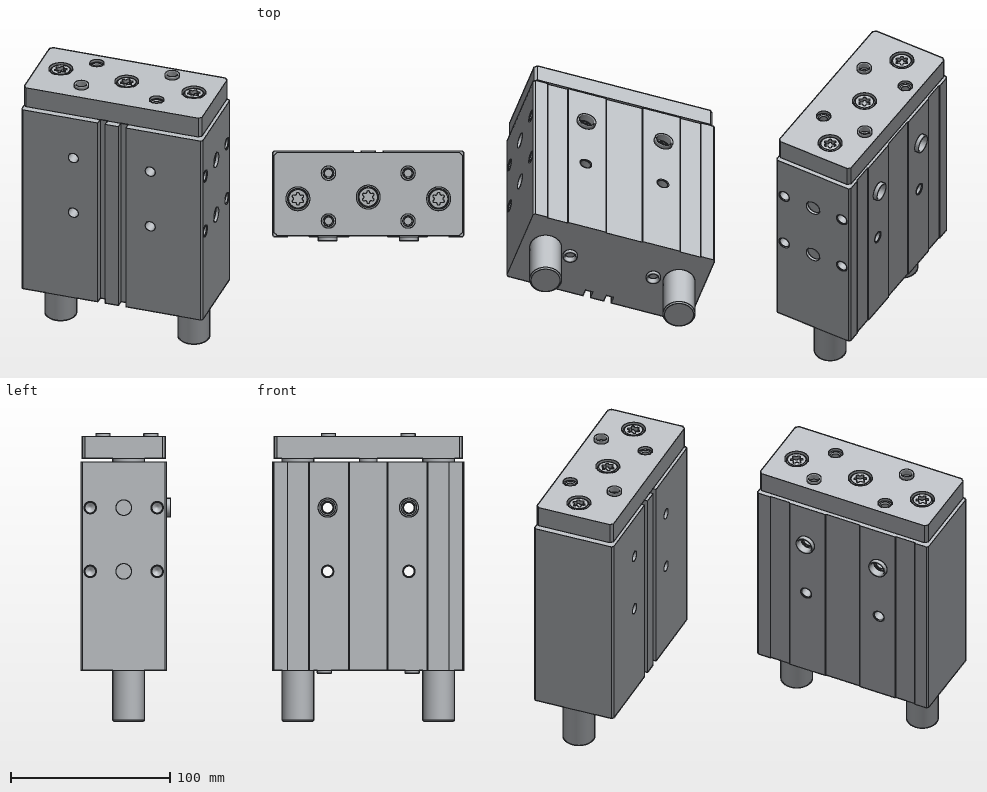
import cadquery as cq
import math


HOUSING_X = 120.0
HOUSING_Y = 53.9
HOUSING_BOTTOM = 32.2
HOUSING_TOP = 162.9
HOUSING_CORNER = 1.0

CENTRE_CHANNEL_HALF = 12.3
SIDE_CHANNEL_INNER = 36.9
SIDE_CHANNEL_OUTER = 50.6
CHANNEL_DEPTH = 0.5
CHANNEL_SLOPE = 0.5

SENSOR_SLOT_X = 6.9
SENSOR_SLOT_WIDTH = 4.9
SENSOR_SLOT_DEPTH = 4.9

UPPER_ROW_Z = 134.2
ROW_SPACING = 40.0
ROW_HEIGHTS = (UPPER_ROW_Z, UPPER_ROW_Z - ROW_SPACING)
MOUNT_HOLE_DIA = 6.7
MOUNT_CHAMFER_DIA = 7.8
FRONT_HOLE_X = 25.5
SIDE_HOLE_Y = 21.0
SIDE_HOLE_DEPTH = 16.0
DRILL_TIP_ANGLE = 118

SIDE_RECESS_DIA = 9.8
SIDE_RECESS_DEPTH = 2.0

PLATE_X = 117.9
PLATE_Y = 52.0
PLATE_BOTTOM = 165.0
PLATE_TOP = 178.8
PLATE_CORNER = 1.8
GUIDE_ROD_DIA = 20.0
GUIDE_ROD_X = 44.1
GUIDE_ROD_Y = -3.0
GUIDE_ROD_CHAMFER = 0.9
PISTON_ROD_DIA = 11.0
PISTON_ROD_Y = -2.0
PISTON_ROD_BOTTOM = 126.5

HEAD_POCKET_DIA = 15.0
HEAD_POCKET_DEPTH = 8.0
HEAD_DIA = 13.0
HEAD_CHAMFER = 0.7
HEAD_DROP = 0.5
SOCKET_TIP_RADIUS = 4.0
SOCKET_VALLEY_RADIUS = 2.7
SOCKET_LOBES = 6
SOCKET_DEPTH = 2.7

PLATE_HOLE_X = 25.0
PLATE_HOLE_OFFSET_Y = 15.0
PLATE_HOLE_DIA = 5.0
PLATE_HOLE_CHAMFER_DIA = 6.7

SMALL_SLEEVE_OUTER = 9.0
SMALL_SLEEVE_INNER = 6.7
SMALL_SLEEVE_PROUD = 2.0
SMALL_SLEEVE_SUNK = 2.0
BOTTOM_SLEEVE_X = 27.5

LARGE_SLEEVE_OUTER = 12.0
LARGE_SLEEVE_INNER = 9.8
LARGE_SLEEVE_PROUD = 2.5
LARGE_SLEEVE_SUNK = 2.5

FRONT_Y = -HOUSING_Y / 2
SIDES = (-1, 1)


def cylinder(diameter, length, base, direction):
    """Solid cylinder that starts at `base` and runs along `direction`."""
    return cq.Workplane(cq.Solid.makeCylinder(diameter / 2, length, cq.Vector(*base), cq.Vector(*direction)))


def countersink(outer_dia, inner_dia, base, direction):
    """45-degree cone that narrows from `outer_dia` at `base` along `direction`."""
    depth = (outer_dia - inner_dia) / 2
    cone = cq.Solid.makeCone(outer_dia / 2, inner_dia / 2, depth, cq.Vector(*base), cq.Vector(*direction))
    return cq.Workplane(cone)


def drilled_hole(diameter, depth, base, direction):
    """Blind hole with a conical drill tip."""
    tip_length = diameter / 2 / math.tan(math.radians(DRILL_TIP_ANGLE / 2))
    tip_base = cq.Vector(*base) + cq.Vector(*direction) * depth
    tip = cq.Solid.makeCone(diameter / 2, 0, tip_length, tip_base, cq.Vector(*direction))
    return cylinder(diameter, depth, base, direction).union(cq.Workplane(tip))


def front_channel(left, right, left_slope, right_slope):
    """Shallow full-height channel in the front face, with sloping walls."""
    outline = [
        (left, FRONT_Y),
        (right, FRONT_Y),
        (right - right_slope, FRONT_Y + CHANNEL_DEPTH),
        (left + left_slope, FRONT_Y + CHANNEL_DEPTH),
    ]
    height = HOUSING_TOP - HOUSING_BOTTOM
    return cq.Workplane("XY").workplane(offset=HOUSING_BOTTOM).polyline(outline).close().extrude(height)


def centring_sleeve(outer_dia, inner_dia, sunk, proud, face_point, outward):
    """Sleeve set into a face at `face_point`, standing proud along `outward` with a fully rounded end."""
    outer = outer_dia / 2
    inner = inner_dia / 2
    middle = (outer + inner) / 2
    round_start = proud - (outer - inner) / 2
    wall = cq.Workplane("XZ").moveTo(inner, -sunk).lineTo(outer, -sunk).lineTo(outer, round_start)
    wall = wall.threePointArc((middle, proud), (inner, round_start)).close()
    sleeve = wall.revolve(360, (0, 0), (0, 1))
    return cq.Workplane(sleeve.val().moved(cq.Location(cq.Plane(origin=face_point, normal=outward))))


def lobed_socket(x, y, top):
    """Six-lobe drive socket cut down from height `top`."""
    half_pitch = math.pi / SOCKET_LOBES
    mid_radius = (SOCKET_TIP_RADIUS + SOCKET_VALLEY_RADIUS) / 2

    def polar(radius, angle):
        return (radius * math.cos(angle), radius * math.sin(angle))

    first_tip = math.pi / 2
    outline = cq.Workplane(cq.Plane(origin=(x, y, top)))
    outline = outline.moveTo(*polar(mid_radius, first_tip - half_pitch / 2))
    for lobe in range(SOCKET_LOBES):
        tip = first_tip + 2 * half_pitch * lobe
        valley = tip + half_pitch
        tip_end = polar(mid_radius, tip + half_pitch / 2)
        valley_end = polar(mid_radius, valley + half_pitch / 2)
        outline = outline.threePointArc(polar(SOCKET_TIP_RADIUS, tip), tip_end)
        outline = outline.threePointArc(polar(SOCKET_VALLEY_RADIUS, valley), valley_end)
    return outline.close().extrude(-SOCKET_DEPTH)


UP = (0, 0, 1)
DOWN = (0, 0, -1)
FORWARD = (0, -1, 0)
INTO_FRONT = (0, 1, 0)
INTO_LEFT = (1, 0, 0)

guide_rod_places = [(side * GUIDE_ROD_X, GUIDE_ROD_Y) for side in SIDES]
screw_places = guide_rod_places + [(0, PISTON_ROD_Y)]
plate_holes = [
    (x_side * PLATE_HOLE_X, PISTON_ROD_Y + y_side * PLATE_HOLE_OFFSET_Y, PLATE_TOP)
    for x_side in SIDES
    for y_side in SIDES
]
plate_sleeve_points = [
    (side * PLATE_HOLE_X, PISTON_ROD_Y + side * PLATE_HOLE_OFFSET_Y, PLATE_TOP) for side in SIDES
]
bottom_sleeve_points = [(side * BOTTOM_SLEEVE_X, PISTON_ROD_Y, HOUSING_BOTTOM) for side in SIDES]
front_sleeve_points = [(side * FRONT_HOLE_X, FRONT_Y, UPPER_ROW_Z) for side in SIDES]


def build_housing():
    height = HOUSING_TOP - HOUSING_BOTTOM
    housing = cq.Workplane("XY").workplane(offset=HOUSING_BOTTOM).rect(HOUSING_X, HOUSING_Y).extrude(height)
    housing = housing.edges("|Z").chamfer(HOUSING_CORNER)

    housing = housing.cut(front_channel(-CENTRE_CHANNEL_HALF, CENTRE_CHANNEL_HALF, CHANNEL_SLOPE, CHANNEL_SLOPE))
    housing = housing.cut(front_channel(-SIDE_CHANNEL_OUTER, -SIDE_CHANNEL_INNER, 0, CHANNEL_SLOPE))
    housing = housing.cut(front_channel(SIDE_CHANNEL_INNER, SIDE_CHANNEL_OUTER, CHANNEL_SLOPE, 0))

    for side in SIDES:
        slot = cq.Workplane("XY")
        slot = slot.box(SENSOR_SLOT_WIDTH, SENSOR_SLOT_DEPTH, height, centered=(True, False, False))
        slot_y = HOUSING_Y / 2 - SENSOR_SLOT_DEPTH
        housing = housing.cut(slot.translate((side * SENSOR_SLOT_X, slot_y, HOUSING_BOTTOM)))

    for x, y in guide_rod_places:
        housing = housing.cut(cylinder(GUIDE_ROD_DIA, height, (x, y, HOUSING_BOTTOM), UP))
    piston_bore_depth = HOUSING_TOP - PISTON_ROD_BOTTOM
    piston_bore_base = (0, PISTON_ROD_Y, PISTON_ROD_BOTTOM)
    housing = housing.cut(cylinder(PISTON_ROD_DIA, piston_bore_depth, piston_bore_base, UP))

    for side in SIDES:
        for z in ROW_HEIGHTS:
            face_point = (side * FRONT_HOLE_X, FRONT_Y, z)
            seat_depth = LARGE_SLEEVE_SUNK if z == UPPER_ROW_Z else 0
            chamfer_point = (face_point[0], FRONT_Y + seat_depth, z)
            housing = housing.cut(cylinder(MOUNT_HOLE_DIA, HOUSING_Y, face_point, INTO_FRONT))
            housing = housing.cut(countersink(MOUNT_CHAMFER_DIA, MOUNT_HOLE_DIA, chamfer_point, INTO_FRONT))
    for point in front_sleeve_points:
        housing = housing.cut(cylinder(LARGE_SLEEVE_OUTER, LARGE_SLEEVE_SUNK, point, INTO_FRONT))

    for z in ROW_HEIGHTS:
        for side in SIDES:
            face_point = (-HOUSING_X / 2, side * SIDE_HOLE_Y, z)
            housing = housing.cut(drilled_hole(MOUNT_HOLE_DIA, SIDE_HOLE_DEPTH, face_point, INTO_LEFT))
            housing = housing.cut(countersink(MOUNT_CHAMFER_DIA, MOUNT_HOLE_DIA, face_point, INTO_LEFT))
        recess_point = (-HOUSING_X / 2, 0, z)
        housing = housing.cut(cylinder(SIDE_RECESS_DIA, SIDE_RECESS_DEPTH, recess_point, INTO_LEFT))

    for point in bottom_sleeve_points:
        housing = housing.cut(cylinder(SMALL_SLEEVE_OUTER, SMALL_SLEEVE_SUNK, point, UP))
    return housing


def build_yoke():
    """Plate, guide rods, piston rod and screw heads moving as one piece."""
    thickness = PLATE_TOP - PLATE_BOTTOM
    yoke = cq.Workplane("XY").workplane(offset=PLATE_BOTTOM).rect(PLATE_X, PLATE_Y).extrude(thickness)
    yoke = yoke.edges("|Z").chamfer(PLATE_CORNER)

    for x, y, z in plate_holes:
        seat_floor = z - SMALL_SLEEVE_SUNK
        yoke = yoke.cut(cylinder(SMALL_SLEEVE_OUTER, SMALL_SLEEVE_SUNK, (x, y, z), DOWN))
        yoke = yoke.cut(cylinder(PLATE_HOLE_DIA, thickness, (x, y, z), DOWN))
        yoke = yoke.cut(countersink(PLATE_HOLE_CHAMFER_DIA, PLATE_HOLE_DIA, (x, y, seat_floor), DOWN))

    pocket_floor = PLATE_TOP - HEAD_POCKET_DEPTH
    head_top = PLATE_TOP - HEAD_DROP
    for x, y in screw_places:
        head = cylinder(HEAD_DIA, head_top - pocket_floor, (x, y, pocket_floor), UP)
        head = head.faces(">Z").chamfer(HEAD_CHAMFER)
        yoke = yoke.cut(cylinder(HEAD_POCKET_DIA, HEAD_POCKET_DEPTH, (x, y, pocket_floor), UP))
        yoke = yoke.union(head)
        yoke = yoke.cut(lobed_socket(x, y, head_top))

    for x, y in guide_rod_places:
        rod = cylinder(GUIDE_ROD_DIA, PLATE_BOTTOM, (x, y, 0), UP).faces("<Z").chamfer(GUIDE_ROD_CHAMFER)
        yoke = yoke.union(rod)
    piston_rod_length = PLATE_BOTTOM - PISTON_ROD_BOTTOM
    return yoke.union(cylinder(PISTON_ROD_DIA, piston_rod_length, (0, PISTON_ROD_Y, PISTON_ROD_BOTTOM), UP))


def build_small_sleeve(face_point, outward):
    return centring_sleeve(
        SMALL_SLEEVE_OUTER, SMALL_SLEEVE_INNER, SMALL_SLEEVE_SUNK, SMALL_SLEEVE_PROUD, face_point, outward
    )


def build_large_sleeve(face_point):
    return centring_sleeve(
        LARGE_SLEEVE_OUTER, LARGE_SLEEVE_INNER, LARGE_SLEEVE_SUNK, LARGE_SLEEVE_PROUD, face_point, FORWARD
    )


housing = build_housing()
yoke = build_yoke()
small_sleeves = [build_small_sleeve(point, UP) for point in plate_sleeve_points]
small_sleeves += [build_small_sleeve(point, DOWN) for point in bottom_sleeve_points]
large_sleeves = [build_large_sleeve(point) for point in front_sleeve_points]

sleeves = small_sleeves + large_sleeves
result = cq.Compound.makeCompound([housing.val(), yoke.val(), *[sleeve.val() for sleeve in sleeves]])